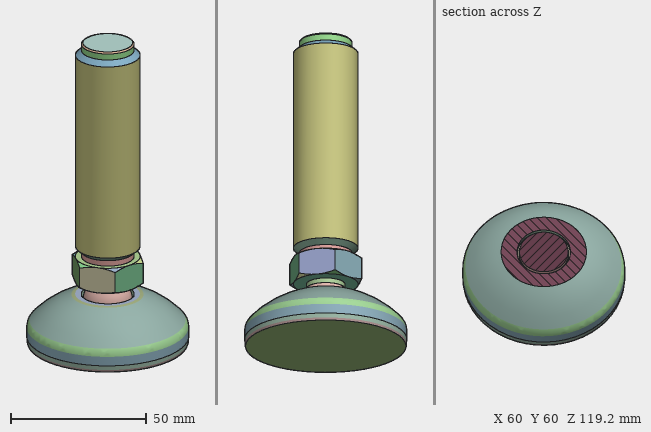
import cadquery as cq
import math

TOTAL_HEIGHT = 119.2
FOOT_RADIUS = 60.0 / 2

PAD_HEIGHT = 2.6
PAD_DRAFT = 0.1
PAD_CHAMFER_HEIGHT = 0.8
PAD_CHAMFER_WIDTH = 0.2

FOOT_TOP = 19.2
DOME_TOP_RADIUS = 12.6
DOME_SPHERE_RADIUS = 39.9
DOME_EDGE_FILLET = 4.0

BALL_RADIUS = 18.4 / 2
SOCKET_RADIUS = 19.5 / 2
NECK_RADIUS = 14.3 / 2
NECK_BOTTOM = 22.4

HEX_BOTTOM = 24.2
HEX_HEIGHT = 10.0
HEX_CHAMFER_ANGLE = 30.0

SHANK_RADIUS = 24.0 / 2
RELIEF_RADIUS = 19.5 / 2
COLLAR_HEIGHT = 2.1
SHANK_CHAMFER = 1.9
TIP_HEIGHT = 3.0
TIP_CHAMFER = 0.6

DOME_CENTER = FOOT_TOP - math.sqrt(DOME_SPHERE_RADIUS**2 - DOME_TOP_RADIUS**2)
BALL_CENTER = NECK_BOTTOM - math.sqrt(BALL_RADIUS**2 - NECK_RADIUS**2)
HEX_TOP = HEX_BOTTOM + HEX_HEIGHT
HEX_FLAT_RADIUS = SHANK_RADIUS
HEX_CORNER_RADIUS = HEX_FLAT_RADIUS / math.cos(math.radians(30))


def revolve(profile):
    """Turn a closed (radius, height) profile around the Z axis."""
    return profile.close().revolve(360, (0, 0, 0), (0, 1, 0))


def make_ball():
    return cq.Workplane("XY").sphere(BALL_RADIUS).translate((0, 0, BALL_CENTER))


def make_socket():
    """Clearance bore above the ball's equator and a matching ball seat below it."""
    bore = (
        cq.Workplane("XY", origin=(0, 0, BALL_CENTER))
        .circle(SOCKET_RADIUS)
        .extrude(FOOT_TOP - BALL_CENTER)
    )
    return make_ball().union(bore)


def make_pad():
    wall_bottom_radius = FOOT_RADIUS - PAD_DRAFT
    profile = cq.Workplane("XZ").polyline([
        (0, 0),
        (wall_bottom_radius - PAD_CHAMFER_WIDTH, 0),
        (wall_bottom_radius, PAD_CHAMFER_HEIGHT),
        (FOOT_RADIUS, PAD_HEIGHT),
        (0, PAD_HEIGHT),
    ])
    return revolve(profile)


def dome_height(radius):
    return DOME_CENTER + math.sqrt(DOME_SPHERE_RADIUS**2 - radius**2)


def make_foot():
    middle_radius = (DOME_TOP_RADIUS + FOOT_RADIUS) / 2
    profile = (
        cq.Workplane("XZ")
        .moveTo(0, PAD_HEIGHT)
        .lineTo(FOOT_RADIUS, PAD_HEIGHT)
        .lineTo(FOOT_RADIUS, dome_height(FOOT_RADIUS))
        .threePointArc((middle_radius, dome_height(middle_radius)), (DOME_TOP_RADIUS, FOOT_TOP))
        .lineTo(0, FOOT_TOP)
    )
    above_underside = cq.selectors.BoxSelector(
        (-FOOT_RADIUS * 2, -FOOT_RADIUS * 2, PAD_HEIGHT + 1.2),
        (FOOT_RADIUS * 2, FOOT_RADIUS * 2, FOOT_TOP + 1.2),
    )
    foot = revolve(profile).edges(above_underside).fillet(DOME_EDGE_FILLET)
    return foot.cut(make_socket())


def make_hexagon():
    """Hexagon with corners on X, its corners turned off conically at both ends."""
    prism = (
        cq.Workplane("XY", origin=(0, 0, HEX_BOTTOM))
        .polygon(6, 2 * HEX_CORNER_RADIUS)
        .extrude(HEX_HEIGHT)
    )
    corner_drop = (HEX_CORNER_RADIUS - HEX_FLAT_RADIUS) * math.tan(math.radians(HEX_CHAMFER_ANGLE))
    envelope = revolve(cq.Workplane("XZ").polyline([
        (0, HEX_BOTTOM),
        (HEX_FLAT_RADIUS, HEX_BOTTOM),
        (HEX_CORNER_RADIUS, HEX_BOTTOM + corner_drop),
        (HEX_CORNER_RADIUS, HEX_TOP - corner_drop),
        (HEX_FLAT_RADIUS, HEX_TOP),
        (0, HEX_TOP),
    ]))
    return prism.intersect(envelope)


def make_shank():
    shank_bottom = HEX_TOP + COLLAR_HEIGHT
    shank_top = TOTAL_HEIGHT - TIP_HEIGHT
    return revolve(cq.Workplane("XZ").polyline([
        (0, HEX_TOP),
        (RELIEF_RADIUS, HEX_TOP),
        (RELIEF_RADIUS, shank_bottom),
        (SHANK_RADIUS, shank_bottom + SHANK_CHAMFER),
        (SHANK_RADIUS, shank_top - SHANK_CHAMFER),
        (RELIEF_RADIUS, shank_top),
        (RELIEF_RADIUS, TOTAL_HEIGHT - TIP_CHAMFER),
        (RELIEF_RADIUS - TIP_CHAMFER, TOTAL_HEIGHT),
        (0, TOTAL_HEIGHT),
    ]))


def make_stud():
    neck = (
        cq.Workplane("XY", origin=(0, 0, BALL_CENTER))
        .circle(NECK_RADIUS)
        .extrude(HEX_BOTTOM - BALL_CENTER)
    )
    return make_ball().union(neck).union(make_hexagon()).union(make_shank())


pad = make_pad()
foot = make_foot()
stud = make_stud()

result = cq.Compound.makeCompound([pad.solids().val(), foot.solids().val(), stud.solids().val()])